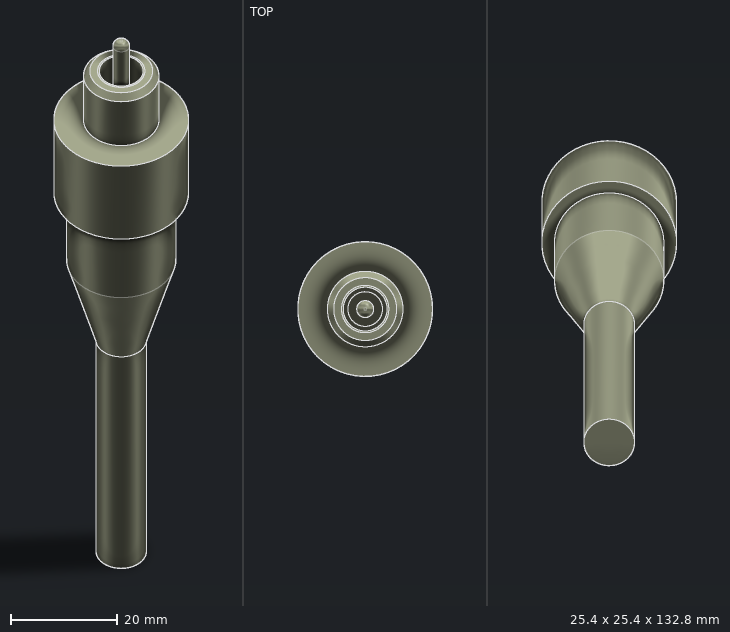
import cadquery as cq

CABLE_TOP = 55.1
TAPER_TOP = 75.8
GRIP_TOP = 93.4
COLLAR_TOP = 112.4
FLOOR_TOP = 115.5
RIM_TOP = 125.0
PIN_TOP = 132.8

CABLE_DIAMETER = 9.5
GRIP_DIAMETER = 20.6
COLLAR_DIAMETER = 25.4
SHELL_DIAMETER = 14.2
SLEEVE_DIAMETER = 8.9
SOCKET_DIAMETER = 8.2
PIN_BASE_DIAMETER = 6.5
PIN_DIAMETER = 3.2

RIM_CHAMFER = 1.2
PIN_TIP_RADIUS = 1.3


def cylinder(diameter, bottom, top):
    """Solid cylinder on the Z axis between two heights."""
    return cq.Workplane("XY").workplane(offset=bottom).circle(diameter / 2).extrude(top - bottom)


def make_cable():
    """Plain round cable that ends against the narrow end of the housing."""
    return cylinder(CABLE_DIAMETER, 0, CABLE_TOP)


def make_housing():
    """Taper that widens from the cable to the grip, topped by the wide collar."""
    taper = (
        cq.Workplane("XY")
        .workplane(offset=CABLE_TOP)
        .circle(CABLE_DIAMETER / 2)
        .workplane(offset=TAPER_TOP - CABLE_TOP)
        .circle(GRIP_DIAMETER / 2)
        .loft()
    )
    grip = cylinder(GRIP_DIAMETER, TAPER_TOP, GRIP_TOP)
    collar = cylinder(COLLAR_DIAMETER, GRIP_TOP, COLLAR_TOP)
    return taper.union(grip).union(collar)


def make_shell():
    """Outer contact tube that stands on the collar, chamfered around its rim."""
    tube = cylinder(SHELL_DIAMETER, COLLAR_TOP, RIM_TOP).faces(">Z").chamfer(RIM_CHAMFER)
    return tube.cut(cylinder(SLEEVE_DIAMETER, COLLAR_TOP, RIM_TOP))


def make_sleeve():
    """Thin liner, flush with the shell rim, with a floor that holds the pin base."""
    sleeve = cylinder(SLEEVE_DIAMETER, COLLAR_TOP, RIM_TOP)
    socket = cylinder(SOCKET_DIAMETER, FLOOR_TOP, RIM_TOP)
    pin_seat = cylinder(PIN_BASE_DIAMETER, COLLAR_TOP, FLOOR_TOP)
    return sleeve.cut(socket).cut(pin_seat)


def make_pin():
    """Center contact with a rounded tip, on a base flush with the sleeve floor."""
    base = cylinder(PIN_BASE_DIAMETER, COLLAR_TOP, FLOOR_TOP)
    shank = cylinder(PIN_DIAMETER, FLOOR_TOP, PIN_TOP).faces(">Z").edges().fillet(PIN_TIP_RADIUS)
    return base.union(shank)


cable = make_cable().solids()
housing = make_housing().solids()
shell = make_shell().solids()
sleeve = make_sleeve().solids()
pin = make_pin().solids()

result = cq.Compound.makeCompound([cable.val(), housing.val(), shell.val(), sleeve.val(), pin.val()])